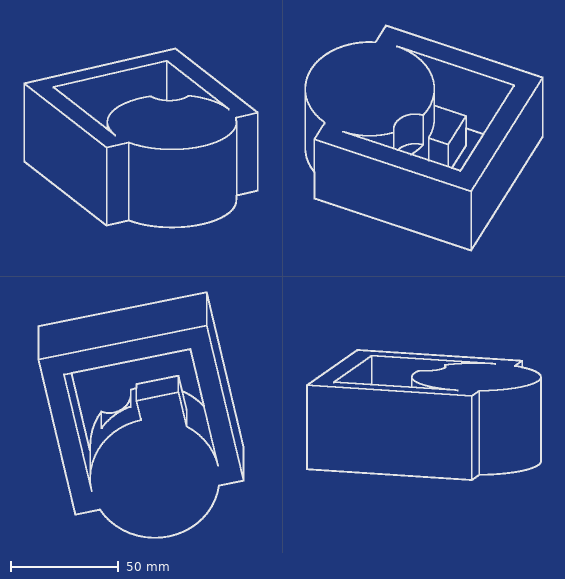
import cadquery as cq

height = 40.0
frame_side = 80.0
wall = 10.0
opening_side = frame_side - 2 * wall

cylinder_radius = opening_side / 2
cylinder_x = 30.0

notch_radius = 10.0
notch_x = 0.0
notch_y = 15.0
notch_depth = 20.0

block_side = 20.0
block_height = 20.0
block_x = 0.0
block_y = -block_side / 2


def make_frame():
    outer = cq.Workplane("XY").rect(frame_side, frame_side)
    return outer.rect(opening_side, opening_side).extrude(height)


def make_notched_cylinder():
    cylinder = cq.Workplane("XY").center(cylinder_x, 0).circle(cylinder_radius).extrude(height)
    notch_floor = cq.Workplane("XY").workplane(offset=height - notch_depth)
    notch = notch_floor.center(notch_x, notch_y).circle(notch_radius).extrude(notch_depth)
    return cylinder.cut(notch)


def make_block():
    return cq.Workplane("XY").center(block_x, block_y).rect(block_side, block_side).extrude(block_height)


result = make_frame().union(make_notched_cylinder()).union(make_block())